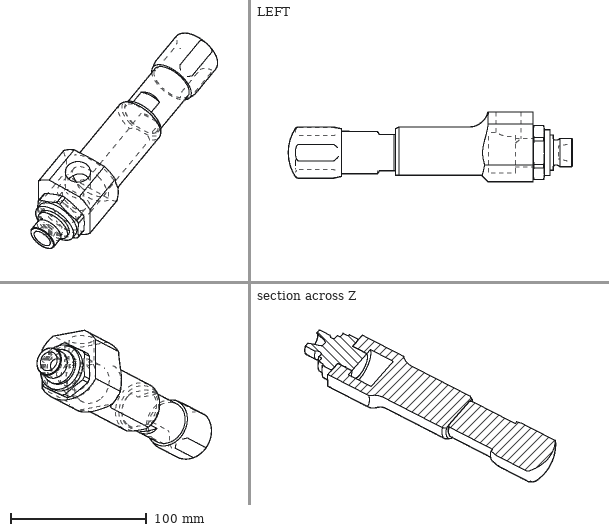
import cadquery as cq
import math


BLOCK_WIDTH = 46.0
BLOCK_ROUND_RADIUS = 27.5
BLOCK_ROUND_CENTER_Z = 6.0
BLOCK_TOP_Z = 30.0
BLOCK_LENGTH = 33.0
SLEEVE_RADIUS = 19.0
SLEEVE_END_Y = 101.5
SLEEVE_CHAMFER_LENGTH = 2.6
SLEEVE_CHAMFER_DEPTH = 1.5
FLARE_RADIUS = 14.0
SLEEVE_FLAT_Z = -16.7
SLEEVE_FLAT_START_Y = 38.0
PORT_RADIUS = 9.3
PORT_Y = 18.0
CHAMBER_RADIUS = 15.0
CHAMBER_END_Y = BLOCK_LENGTH

PLUG_LENGTH = 13.0
PLUG_RADIUS = 10.5
HEX_ACROSS_FLATS = 36.0
HEX_CORNER_RADIUS = 20.0
HEX_END_Y = -8.5
COLLAR_RADIUS = 17.0
COLLAR_END_Y = -12.6
STEP_RADIUS = 13.1
STEP_END_Y = -15.0
GROOVE_RADIUS = 9.3
GROOVE_FILLET = 1.2
GROOVE_END_Y = -17.6
GROOVE_RAMP_RADIUS = 9.5
GROOVE_RAMP_Y = -18.3
TUBE_END_RADIUS = 10.5
TUBE_END_START_Y = -19.9
CONNECTOR_TIP_Y = -29.0
TIP_CHAMFER = 0.5
MOUTH_RADIUS = 7.2
MOUTH_DEPTH = 3.0
CONE_RADIUS = 6.3
SOCKET_FLOOR_RADIUS = 4.75
CONE_HALF_ANGLE = 12.0
HEX_CHAMFER_ANGLE = 12.0

NECK_RADIUS = 15.75
NECK_RELIEF_RADIUS = 14.8
NECK_RELIEF_LENGTH = 1.1
WRENCH_ACROSS_FLATS = 27.0
WRENCH_FLAT_END_Y = 114.7
WRENCH_FLAT_END_RADIUS = 23.0
KNOB_START_Y = 141.0
KNOB_MOUTH_RADIUS = 17.65
KNOB_RADIUS = 19.0
KNOB_TAPER_END_Y = 146.8
KNOB_STRAIGHT_END_Y = 172.7
DOME_START_Y = 175.2
DOME_START_RADIUS = 17.9
DOME_TIP_Y = 180.5
GRIP_FLAT_DISTANCE = 18.0
GRIP_FLAT_ANGLES = (60.0, 180.0, 300.0)

Y_AXIS = ((0, 0, 0), (0, 1, 0))


def revolve(profile):
    """Close a (radius, Y) profile and turn it about the Y axis."""
    return profile.close().revolve(360, *Y_AXIS)


def cylinder_y(radius, start_y, end_y):
    return revolve(
        cq.Workplane("XY")
        .moveTo(0, start_y)
        .lineTo(radius, start_y)
        .lineTo(radius, end_y)
        .lineTo(0, end_y)
    )


def box_between(x_range, y_range, z_range):
    sizes = [high - low for low, high in (x_range, y_range, z_range)]
    corner = (x_range[0], y_range[0], z_range[0])
    return cq.Workplane("XY").box(*sizes, centered=False).translate(corner)


def make_block_envelope():
    """Off-centre cylinder with two flat sides and a flat top, as long as the whole housing."""
    round_bar = cylinder_y(BLOCK_ROUND_RADIUS, 0, SLEEVE_END_Y).translate((0, 0, BLOCK_ROUND_CENTER_Z))
    limits = box_between(
        (-BLOCK_WIDTH / 2, BLOCK_WIDTH / 2),
        (0, SLEEVE_END_Y),
        (BLOCK_ROUND_CENTER_Z - BLOCK_ROUND_RADIUS, BLOCK_TOP_Z),
    )
    return round_bar.intersect(limits)


def make_turned_housing():
    """Turned form: wide front, quarter-round flare and chamfered sleeve."""
    flare_rim = SLEEVE_RADIUS + FLARE_RADIUS
    flare_end_y = BLOCK_LENGTH + FLARE_RADIUS
    diagonal = FLARE_RADIUS * math.sqrt(0.5)
    profile = (
        cq.Workplane("XY")
        .lineTo(flare_rim, 0)
        .lineTo(flare_rim, BLOCK_LENGTH)
        .threePointArc((flare_rim - diagonal, flare_end_y - diagonal), (SLEEVE_RADIUS, flare_end_y))
        .lineTo(SLEEVE_RADIUS, SLEEVE_END_Y - SLEEVE_CHAMFER_LENGTH)
        .lineTo(SLEEVE_RADIUS - SLEEVE_CHAMFER_DEPTH, SLEEVE_END_Y)
        .lineTo(0, SLEEVE_END_Y)
    )
    return revolve(profile)


def make_sleeve_flat_cutter():
    """Removes the underside of the sleeve, with a 45 degree run-out towards the block."""
    depth = SLEEVE_RADIUS
    return (
        cq.Workplane("YZ")
        .moveTo(SLEEVE_FLAT_START_Y, SLEEVE_FLAT_Z)
        .lineTo(SLEEVE_END_Y, SLEEVE_FLAT_Z)
        .lineTo(SLEEVE_END_Y, SLEEVE_FLAT_Z - depth)
        .lineTo(SLEEVE_FLAT_START_Y - depth, SLEEVE_FLAT_Z - depth)
        .close()
        .extrude(BLOCK_WIDTH / 2, both=True)
    )


def make_housing():
    port = cq.Workplane("XY").center(0, PORT_Y).circle(PORT_RADIUS).extrude(BLOCK_TOP_Z)
    return (
        make_block_envelope()
        .intersect(make_turned_housing())
        .cut(make_sleeve_flat_cutter())
        .cut(cylinder_y(PLUG_RADIUS, 0, PLUG_LENGTH))
        .cut(cylinder_y(CHAMBER_RADIUS, PLUG_LENGTH, CHAMBER_END_Y))
        .cut(port)
    )


def make_hexagon():
    """Hexagon with flats on +X and -X, rounded corners and a shallow cone on each face."""
    cone_length = (HEX_CORNER_RADIUS - COLLAR_RADIUS) * math.tan(math.radians(HEX_CHAMFER_ANGLE))
    envelope = revolve(
        cq.Workplane("XY")
        .lineTo(COLLAR_RADIUS, 0)
        .lineTo(HEX_CORNER_RADIUS, -cone_length)
        .lineTo(HEX_CORNER_RADIUS, HEX_END_Y + cone_length)
        .lineTo(COLLAR_RADIUS, HEX_END_Y)
        .lineTo(0, HEX_END_Y)
    )
    across_corners = HEX_ACROSS_FLATS / math.cos(math.radians(30))
    prism = (
        cq.Workplane("XZ")
        .transformed(rotate=(0, 0, 90))
        .polygon(6, across_corners)
        .extrude(-HEX_END_Y)
    )
    return prism.intersect(envelope)


def make_tube_socket():
    """Flared mouth followed by a tapered seat."""
    cone_start_y = CONNECTOR_TIP_Y + MOUTH_DEPTH
    cone_length = (CONE_RADIUS - SOCKET_FLOOR_RADIUS) / math.tan(math.radians(CONE_HALF_ANGLE))
    return revolve(
        cq.Workplane("XY")
        .moveTo(0, CONNECTOR_TIP_Y)
        .lineTo(MOUTH_RADIUS, CONNECTOR_TIP_Y)
        .lineTo(CONE_RADIUS, cone_start_y)
        .lineTo(SOCKET_FLOOR_RADIUS, cone_start_y + cone_length)
        .lineTo(0, cone_start_y + cone_length)
    )


def make_connector():
    """Turned plug, collar, groove and tube end; the collar starts inside the hexagon."""
    collar_start_y = HEX_END_Y / 2
    turned = revolve(
        cq.Workplane("XY")
        .moveTo(0, PLUG_LENGTH)
        .lineTo(PLUG_RADIUS, PLUG_LENGTH)
        .lineTo(PLUG_RADIUS, collar_start_y)
        .lineTo(COLLAR_RADIUS, collar_start_y)
        .lineTo(COLLAR_RADIUS, COLLAR_END_Y)
        .lineTo(STEP_RADIUS, COLLAR_END_Y)
        .lineTo(STEP_RADIUS, STEP_END_Y)
        .lineTo(GROOVE_RADIUS + GROOVE_FILLET, STEP_END_Y)
        .tangentArcPoint((GROOVE_RADIUS, STEP_END_Y - GROOVE_FILLET), relative=False)
        .lineTo(GROOVE_RADIUS, GROOVE_END_Y)
        .tangentArcPoint((GROOVE_RAMP_RADIUS, GROOVE_RAMP_Y), relative=False)
        .lineTo(TUBE_END_RADIUS, TUBE_END_START_Y)
        .lineTo(TUBE_END_RADIUS, CONNECTOR_TIP_Y + TIP_CHAMFER)
        .lineTo(TUBE_END_RADIUS - TIP_CHAMFER, CONNECTOR_TIP_Y)
        .lineTo(0, CONNECTOR_TIP_Y)
    )
    return turned.union(make_hexagon()).cut(make_tube_socket())


def make_wrench_flat_cutter():
    """Cuts the upper wrench flat, whose far end is a shallow arc when seen along Z."""
    end_corner_y = WRENCH_FLAT_END_Y - WRENCH_FLAT_END_RADIUS
    end_corner_y += math.sqrt(WRENCH_FLAT_END_RADIUS**2 - NECK_RADIUS**2)
    return (
        cq.Workplane("XY")
        .workplane(offset=WRENCH_ACROSS_FLATS / 2)
        .moveTo(-NECK_RADIUS, SLEEVE_END_Y)
        .lineTo(NECK_RADIUS, SLEEVE_END_Y)
        .lineTo(NECK_RADIUS, end_corner_y)
        .threePointArc((0, WRENCH_FLAT_END_Y), (-NECK_RADIUS, end_corner_y))
        .close()
        .extrude(NECK_RADIUS)
    )


def make_grip_flat_cutter(angle):
    """Block outside one grip flat whose normal is turned by the angle from +X."""
    cutter = box_between(
        (GRIP_FLAT_DISTANCE, 2 * KNOB_RADIUS),
        (KNOB_START_Y, DOME_TIP_Y),
        (-KNOB_RADIUS, KNOB_RADIUS),
    )
    return cutter.rotate((0, 0, 0), (0, -1, 0), angle)


def make_adjuster():
    dome_height = DOME_TIP_Y - DOME_START_Y
    dome_radius = (DOME_START_RADIUS**2 + dome_height**2) / (2 * dome_height)
    dome_mid_r = DOME_START_RADIUS / 2
    dome_mid_y = DOME_TIP_Y - dome_radius + math.sqrt(dome_radius**2 - dome_mid_r**2)
    adjuster = revolve(
        cq.Workplane("XY")
        .moveTo(0, SLEEVE_END_Y)
        .lineTo(NECK_RELIEF_RADIUS, SLEEVE_END_Y)
        .lineTo(NECK_RADIUS, SLEEVE_END_Y + NECK_RELIEF_LENGTH)
        .lineTo(NECK_RADIUS, KNOB_START_Y)
        .lineTo(KNOB_MOUTH_RADIUS, KNOB_START_Y)
        .lineTo(KNOB_RADIUS, KNOB_TAPER_END_Y)
        .lineTo(KNOB_RADIUS, KNOB_STRAIGHT_END_Y)
        .tangentArcPoint((DOME_START_RADIUS, DOME_START_Y), relative=False)
        .threePointArc((dome_mid_r, dome_mid_y), (0, DOME_TIP_Y))
    )
    upper_flat = make_wrench_flat_cutter()
    adjuster = adjuster.cut(upper_flat).cut(upper_flat.mirror("XY"))
    for angle in GRIP_FLAT_ANGLES:
        adjuster = adjuster.cut(make_grip_flat_cutter(angle))
    return adjuster


housing = make_housing()
connector = make_connector()
adjuster = make_adjuster()
result = cq.Compound.makeCompound([housing.val(), connector.val(), adjuster.val()])